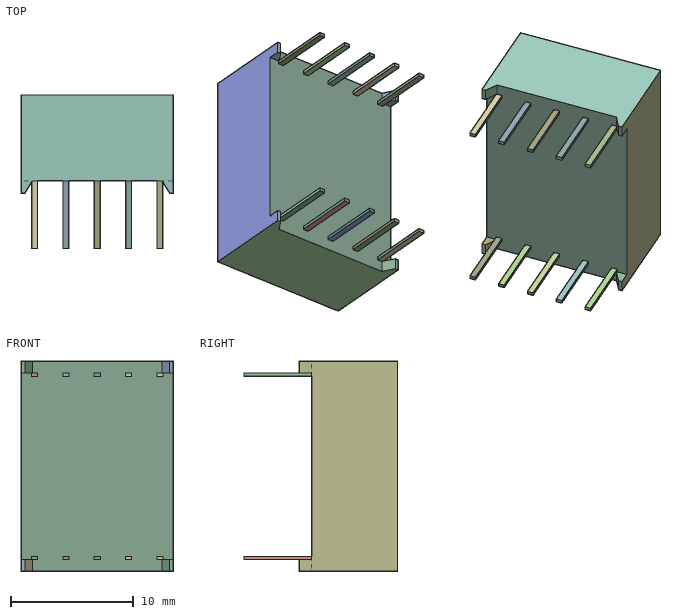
import cadquery as cq

width = 12.4
height = 17.1
body_depth = 7.0

foot_length = 1.01
foot_height = 0.95
foot_tip_width = 0.3
foot_root_width = 0.92

pins_per_row = 5
pin_pitch = 2.55
row_spacing = 14.91
pin_width = 0.5
pin_thickness = 0.27
pin_length = 5.5


def make_body():
    """Plain block with its pin face on Y = 0."""
    return cq.Workplane("XY").box(width, body_depth, height, centered=(True, False, True))


def make_foot(x_side, z_side):
    """Tapered foot in one corner, with its slanted face toward the middle."""
    edge = width / 2
    outline = [
        (x_side * edge, 0),
        (x_side * edge, -foot_length),
        (x_side * (edge - foot_tip_width), -foot_length),
        (x_side * (edge - foot_root_width), 0),
    ]
    z_center = z_side * (height - foot_height) / 2
    return (
        cq.Workplane("XY")
        .workplane(offset=z_center - foot_height / 2)
        .polyline(outline)
        .close()
        .extrude(foot_height)
    )


def make_pins():
    """Both rows of rectangular pins, pointing toward -Y from the pin face."""
    return (
        cq.Workplane("XZ")
        .rarray(pin_pitch, row_spacing, pins_per_row, 2)
        .rect(pin_width, pin_thickness)
        .extrude(pin_length)
    )


result = make_body().union(make_pins())
for x_side in (-1, 1):
    for z_side in (-1, 1):
        result = result.union(make_foot(x_side, z_side))